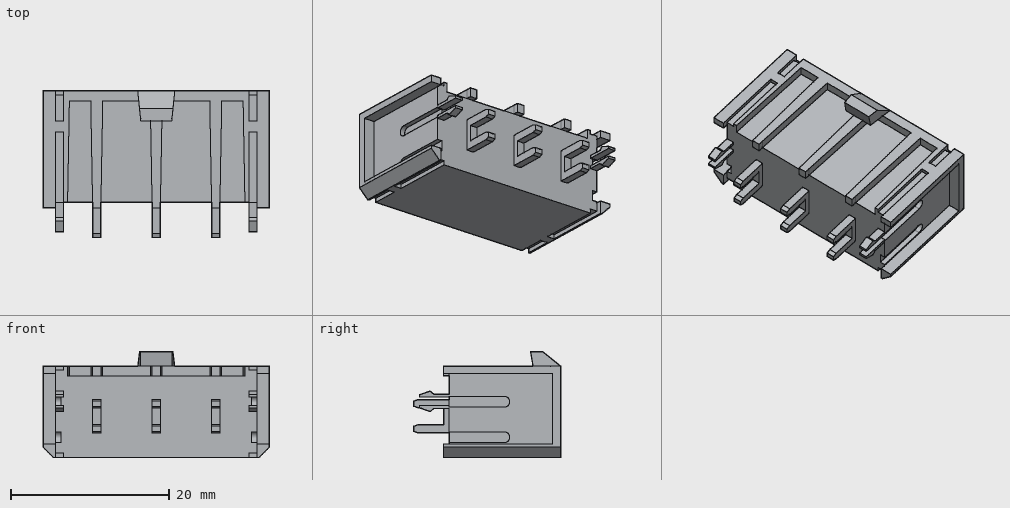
import cadquery as cq

overall_width = 28.57
body_height = 11.55
body_depth = 14.1
wing_depth = 14.83
corner_chamfer = 1.3

end_core_half_width = 12.75
end_recess_bottom = 1.75
end_recess_top = 10.6
rear_wall = 1.03

slot_width = 1.05
top_slot_depth = 0.49
bottom_slot_depth = 0.57
rear_slot_end = 3.83
front_slot_start = 5.25
rear_notch_length = 0.57
rear_notch_depth = 0.97

groove_width = 1.37
groove_depth = 0.69
groove_rear = 6.45
groove_heights = (2.57, 7.05)

pocket_depth = 1.23
pocket_rear = 1.3
pocket_half_width = 10.97
rib_rear_width = 1.5
wall_taper = 0.23
pin_pitch = 7.5
pin_width = 1.03
pin_positions = (-pin_pitch, 0, pin_pitch)

latch_height = 1.85
latch_base_front = 3.5
latch_tip_rear = 2.29
latch_tip_front = 3.83
latch_rear_width = 4.69
latch_front_width = 3.9

pin_end = 18.57
pin_bottom = 3.1
pin_top = 7.35
prong_height = 1.05
pin_web_front = 14.8
tip_length = 0.55
tip_drop = 0.2

clip_center_height = 7.1
clip_inner_gap = 1.03
clip_arm_height = 0.4
barb_height = 0.4
barb_start = 16.05
barb_peak = 16.48
clip_end = 17.85
clip_tip_height = 0.3

slot_center = end_core_half_width - slot_width / 2
pocket_floor = body_height - pocket_depth
rib_front_width = rib_rear_width - 2 * wall_taper


def block(x0, x1, front, rear, z0, z1):
    """Box whose front and rear are distances forward of the rear face."""
    return cq.Workplane("XY").box(x1 - x0, front - rear, z1 - z0, centered=False).translate((x0, -front, z0))


def side_profile(points, width, x_center):
    """Extrude (distance forward, height) points along X about x_center."""
    outline = [(-forward, z) for forward, z in points]
    return cq.Workplane("YZ").polyline(outline).close().extrude(width / 2, both=True).translate((x_center, 0, 0))


def plan_profile(points, z0, z1):
    """Extrude (x, distance forward) points from z0 up to z1."""
    outline = [(x, -forward) for x, forward in points]
    return cq.Workplane("XY").workplane(offset=z0).polyline(outline).close().extrude(z1 - z0)


def make_housing():
    half_width = overall_width / 2
    housing = block(-half_width, half_width, wing_depth, 0, 0, body_height)
    housing = housing.faces("<Z").edges("|Y").chamfer(corner_chamfer)
    front_gap = block(-end_core_half_width, end_core_half_width, wing_depth, body_depth, 0, body_height)
    return housing.cut(front_gap)


def make_end_recess():
    return block(-overall_width / 2, -end_core_half_width, wing_depth, rear_wall,
                 end_recess_bottom, end_recess_top)


def make_end_slots():
    x0 = -end_core_half_width
    x1 = x0 + slot_width
    slot_floor = body_height - top_slot_depth
    slots = block(x0, x1, rear_notch_length, 0, body_height - rear_notch_depth, body_height)
    for front, rear in ((rear_slot_end, 0), (body_depth, front_slot_start)):
        slots = slots.union(block(x0, x1, front, rear, slot_floor, body_height))
        slots = slots.union(block(x0, x1, front, rear, 0, bottom_slot_depth))
    return slots


def make_groove(height):
    radius = groove_width / 2
    x0 = -end_core_half_width
    round_center = groove_rear + radius
    channel = block(x0, x0 + groove_depth, body_depth, round_center, height - radius, height + radius)
    round_end = (
        cq.Workplane("YZ", origin=(x0, -round_center, height))
        .circle(radius)
        .extrude(groove_depth)
    )
    return channel.union(round_end)


def make_top_pocket():
    front_half_width = pocket_half_width + wall_taper
    outline = [
        (-pocket_half_width, pocket_rear),
        (pocket_half_width, pocket_rear),
        (front_half_width, body_depth),
        (-front_half_width, body_depth),
    ]
    return plan_profile(outline, pocket_floor, body_height)


def make_rib(x):
    rear_half = rib_rear_width / 2
    front_half = rib_front_width / 2
    outline = [
        (x - rear_half, pocket_rear),
        (x + rear_half, pocket_rear),
        (x + front_half, body_depth),
        (x + front_half, wing_depth),
        (x - front_half, wing_depth),
        (x - front_half, body_depth),
    ]
    return plan_profile(outline, pocket_floor, body_height)


def make_latch():
    latch_top = body_height + latch_height
    profile = [
        (0, body_height),
        (latch_tip_rear, latch_top),
        (latch_tip_front, latch_top),
        (latch_base_front, body_height),
    ]
    ramp = side_profile(profile, latch_rear_width, 0)
    rear_half = latch_rear_width / 2
    front_half = latch_front_width / 2
    outline = [
        (-rear_half, 0),
        (rear_half, 0),
        (front_half, latch_tip_front),
        (-front_half, latch_tip_front),
    ]
    return ramp.intersect(plan_profile(outline, body_height, latch_top))


def make_prong(x, bottom):
    top = bottom + prong_height
    profile = [
        (body_depth, bottom),
        (pin_end - tip_length, bottom),
        (pin_end, bottom + tip_drop),
        (pin_end, top - tip_drop),
        (pin_end - tip_length, top),
        (body_depth, top),
    ]
    return side_profile(profile, pin_width, x)


def make_pin(x):
    web = block(x - pin_width / 2, x + pin_width / 2, pin_web_front, body_depth, pin_bottom, pin_top)
    return web.union(make_prong(x, pin_bottom)).union(make_prong(x, pin_top - prong_height))


def make_clip_arm(direction):
    """One barbed arm; direction is 1 for the upper arm and -1 for the lower."""
    inner = clip_inner_gap / 2
    outer = inner + clip_arm_height
    offsets = [
        (body_depth, inner),
        (clip_end, inner),
        (clip_end, inner + clip_tip_height),
        (barb_peak, outer + barb_height),
        (barb_start, outer),
        (body_depth, outer),
    ]
    profile = [(forward, clip_center_height + direction * offset) for forward, offset in offsets]
    return side_profile(profile, slot_width, -slot_center)


def both_ends(shape):
    return shape.union(shape.mirror("YZ"))


result = make_housing()
result = result.cut(both_ends(make_end_recess()))
result = result.cut(both_ends(make_end_slots()))
for groove_height in groove_heights:
    result = result.cut(both_ends(make_groove(groove_height)))
result = result.cut(make_top_pocket())
for pin_x in pin_positions:
    result = result.union(make_rib(pin_x))
    result = result.union(make_pin(pin_x))
result = result.union(make_latch())
for arm_direction in (1, -1):
    result = result.union(both_ends(make_clip_arm(arm_direction)))